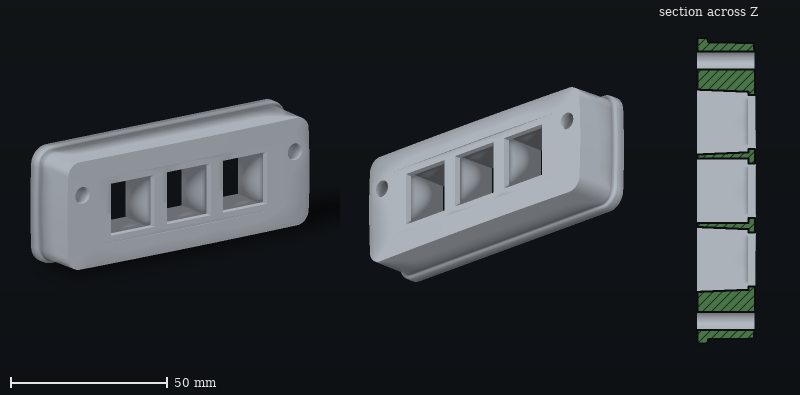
import cadquery as cq

depth = 18.9
length = 98.0
height = 39.0

flange_thickness = 3.5
rim_radius = 0.9
cove_radius = 0.44
end_bow = 0.7
flange_corner = 5.9

rim_flat = 0.05
body_inset = rim_radius + rim_flat + cove_radius
body_taper_angle = 0.7
body_corner = flange_corner - body_inset
back_edge = 18.2

recess_floor = 18.5
recess_height = 22.1

window_count = 3
window_pitch = 22.0
window_width = 20.6
window_height = 20.4
outer_window_draft = 0.7
opening_width = 17.15
opening_height = 17.3
lip_front = 16.3

hole_diameter = 5.6
hole_offset_y = 41.6
hole_z = 6.8


def rounded_plate(inset, corner, start, thickness, taper=0):
    """Plate in the YZ plane with bowed short ends and rounded corners."""
    half_y = length / 2 - inset
    half_z = height / 2 - inset
    corner_y = half_y - end_bow
    outline = (
        cq.Workplane("YZ", origin=(start, 0, 0))
        .moveTo(-corner_y, -half_z)
        .lineTo(corner_y, -half_z)
        .threePointArc((half_y, 0), (corner_y, half_z))
        .lineTo(-corner_y, half_z)
        .threePointArc((-half_y, 0), (-corner_y, -half_z))
        .close()
    )
    plate = outline.extrude(thickness, taper=taper)
    return plate.edges("not (<X or >X)").fillet(corner)


def crown_envelope():
    """Profile in XY, extruded along Z, that bows the back face outward."""
    return (
        cq.Workplane("XY", origin=(0, 0, -height / 2))
        .moveTo(0, -length / 2)
        .lineTo(back_edge, -length / 2)
        .threePointArc((depth, 0), (back_edge, length / 2))
        .lineTo(0, length / 2)
        .close()
        .extrude(height)
    )


def window(center_y, draft):
    """Front pocket, narrowing by draft on each side, with a smaller opening through its floor."""
    pocket = (
        cq.Workplane("YZ", origin=(0, center_y, 0))
        .rect(window_width, window_height)
        .workplane(offset=lip_front)
        .rect(window_width - 2 * draft, window_height)
        .loft(ruled=True)
    )
    opening = cq.Workplane("YZ", origin=(0, center_y, 0)).rect(opening_width, opening_height).extrude(depth)
    return pocket.union(opening)


flange = rounded_plate(0, flange_corner, 0, flange_thickness)
flange = flange.faces(">X").edges().fillet(rim_radius)
body = rounded_plate(body_inset, body_corner, flange_thickness, depth - flange_thickness, body_taper_angle)
result = flange.union(body)

back_flat = result.faces("|X").faces("<X[1]")
seam_edges = back_flat.val().innerWires()[0].Edges()
result = result.newObject(seam_edges).fillet(cove_radius)
result = result.intersect(crown_envelope())

recess = (
    cq.Workplane("XY", origin=(recess_floor, 0, 0))
    .box(depth - recess_floor, length, recess_height, centered=(False, True, True))
)
result = result.cut(recess)

for index in range(window_count):
    position = index - (window_count - 1) / 2
    result = result.cut(window(position * window_pitch, outer_window_draft * abs(position)))

holes = (
    cq.Workplane("YZ")
    .pushPoints([(-hole_offset_y, hole_z), (hole_offset_y, hole_z)])
    .circle(hole_diameter / 2)
    .extrude(depth)
)
result = result.cut(holes)